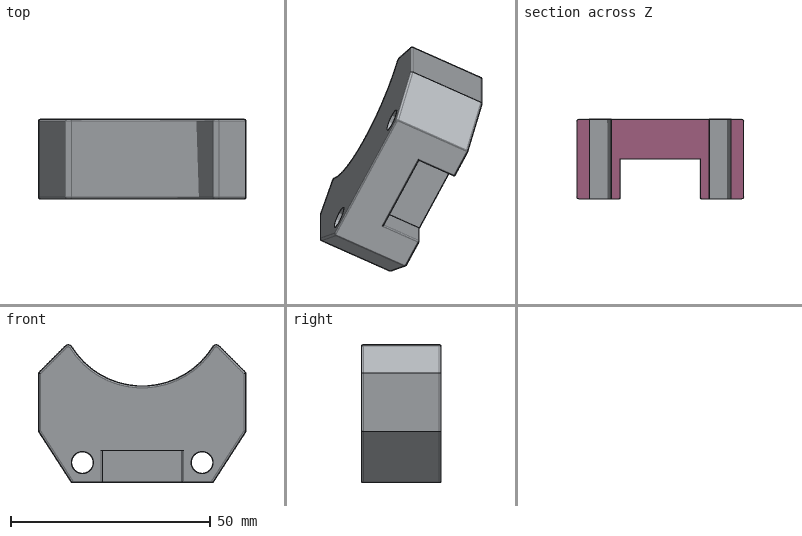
import cadquery as cq

length = 52.0
depth = 20.0
half_length = length / 2
half_depth = depth / 2

base_half_width = 17.75
side_bottom_height = 12.8
side_top_height = 27.5

cradle_radius = 20.8
cradle_axis_height = 45.0
tip_radius = 1.0

hole_diameter = 5.4
hole_half_spacing = 15.0
hole_height = 5.0

recess_half_width = 10.0
recess_height = 8.0
recess_depth = 10.0

face_edge_radius = 0.5
foot_edge_radius = 0.3

pick_gap = 0.01


def make_block():
    """Extrude the profile; its shoulders rise at 45 degrees until the cradle cuts them."""
    shoulder_peak_height = side_top_height + half_length
    profile = [
        (-base_half_width, 0),
        (base_half_width, 0),
        (half_length, side_bottom_height),
        (half_length, side_top_height),
        (0, shoulder_peak_height),
        (-half_length, side_top_height),
        (-half_length, side_bottom_height),
    ]
    block = cq.Workplane("XZ").polyline(profile).close().extrude(half_depth, both=True)
    cradle = (
        cq.Workplane("XZ")
        .center(0, cradle_axis_height)
        .circle(cradle_radius)
        .extrude(half_depth, both=True)
    )
    return block.cut(cradle)


def box_between(low, high):
    """Selector for edges whose centres lie between two corner points."""
    return cq.selectors.BoxSelector(low, high)


def round_tips(body):
    """Round the two long ridges where the shoulders meet the cradle."""
    low = (-half_length, -pick_gap, side_top_height + pick_gap)
    high = (half_length, pick_gap, cradle_axis_height)
    return body.edges("|Y").edges(box_between(low, high)).fillet(tip_radius)


def round_face_edges(body):
    """Round the front and back outlines, except along the underside."""
    low = (-half_length - pick_gap, -half_depth - pick_gap, pick_gap)
    high = (half_length + pick_gap, half_depth + pick_gap, cradle_axis_height)
    return body.faces("<Y or >Y").edges(box_between(low, high)).fillet(face_edge_radius)


def cut_recess(body):
    recess = cq.Workplane("XY").box(
        2 * recess_half_width, recess_depth, recess_height, centered=(True, False, False)
    )
    return body.cut(recess.translate((0, -half_depth, 0)))


def round_foot_edges(body):
    """Round every edge of the underside and the upright front edges beside the recess."""
    low = (-recess_half_width - pick_gap, -half_depth - pick_gap, 0)
    high = (recess_half_width + pick_gap, -half_depth + pick_gap, recess_height)
    upright_edges = body.edges("|Z").edges(box_between(low, high))
    underside_edges = body.faces("<Z").edges()
    return upright_edges.add(underside_edges).fillet(foot_edge_radius)


def drill_holes(body):
    holes = (
        cq.Workplane("XZ")
        .pushPoints([(-hole_half_spacing, hole_height), (hole_half_spacing, hole_height)])
        .circle(hole_diameter / 2)
        .extrude(half_depth, both=True)
    )
    return body.cut(holes)


body = round_tips(make_block())
body = round_face_edges(body)
body = cut_recess(body)
body = round_foot_edges(body)
result = drill_holes(body)